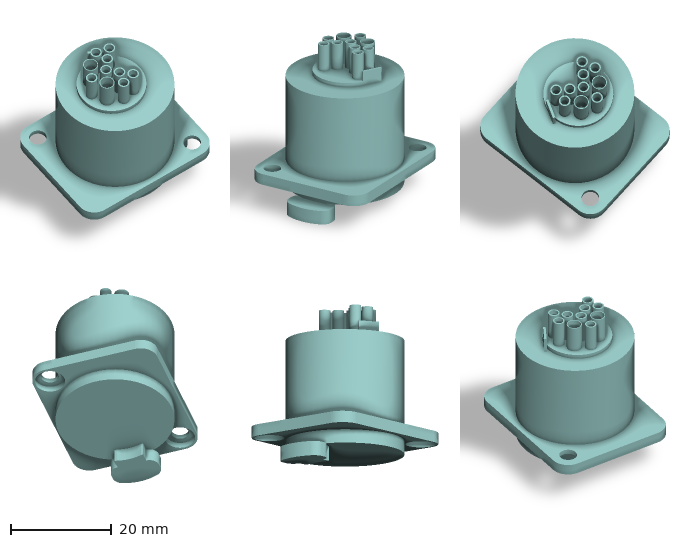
import cadquery as cq

BARREL_RADIUS = 11.8
BARREL_HEIGHT = 23.0

FLANGE_WIDTH = 26.0
FLANGE_LENGTH = 31.0
FLANGE_BOTTOM = 2.7
FLANGE_THICKNESS = 2.3
FLANGE_CORNER_RADIUS = 3.5
MOUNTING_HOLE_DIAMETER = 3.5
COUNTERBORE_DIAMETER = 6.0
COUNTERBORE_DEPTH = 1.3
MOUNTING_HOLE_X = 9.5
MOUNTING_HOLE_Y = 12.0

DISC_RADIUS = 6.93
DISC_THICKNESS = 0.9
DISC_Y = -0.87
DISC_TOP = BARREL_HEIGHT + DISC_THICKNESS

CUP_HEIGHT = 5.5
SMALL_CUP_RADIUS = 1.15
SMALL_BORE_RADIUS = 0.87
LARGE_CUP_RADIUS = 1.5
LARGE_BORE_RADIUS = 1.33
CENTRE_CUPS = [(0, -1.34), (0, -4.85)]
PAIRED_CUPS = [(4.0, 2.41), (4.67, -0.4), (2.07, 0.47)]
LARGE_CUP = (2.77, -3.1)

TAB_X = -6.69
TAB_Y = 1.55
TAB_LENGTH = 4.15
TAB_THICKNESS = 0.5
TAB_HEIGHT = 3.0
TAB_ANGLE = 60

LATCH_BOTTOM = -3.0
LATCH_CLEARANCE = 0.1
LATCH_TIP_Y = 15.72
LATCH_TIP_RADIUS = 10.0
LATCH_CORNER_RADIUS = 2.0
HEAD_WIDTH = 10.0
HEAD_BACK_Y = 10.3
NECK_WIDTH = 6.0
NECK_BACK_Y = 8.45
NECK_FRONT_Y = 11.5
NECK_HOLLOW_RADIUS = 8.82


def mirrored(points):
    """Return the points together with their mirror images across x = 0."""
    return [(side * x, y) for x, y in points for side in (-1, 1)]


def cylinder(radius, bottom, height, y=0):
    return cq.Workplane("XY", origin=(0, y, bottom)).circle(radius).extrude(height)


def make_flange():
    flange = (
        cq.Workplane("XY", origin=(0, 0, FLANGE_BOTTOM))
        .rect(FLANGE_WIDTH, FLANGE_LENGTH)
        .extrude(FLANGE_THICKNESS)
        .edges("|Z")
        .fillet(FLANGE_CORNER_RADIUS)
    )
    hole_points = [
        (MOUNTING_HOLE_X, MOUNTING_HOLE_Y),
        (-MOUNTING_HOLE_X, -MOUNTING_HOLE_Y),
    ]
    hole_plane = cq.Workplane("XY", origin=(0, 0, FLANGE_BOTTOM)).pushPoints(hole_points)
    holes = hole_plane.circle(MOUNTING_HOLE_DIAMETER / 2).extrude(FLANGE_THICKNESS)
    counterbores = hole_plane.circle(COUNTERBORE_DIAMETER / 2).extrude(COUNTERBORE_DEPTH)
    return flange.cut(holes).cut(counterbores)


def make_cups(points, outer_radius, bore_radius):
    plane = cq.Workplane("XY", origin=(0, DISC_Y, DISC_TOP)).pushPoints(points)
    cups = plane.circle(outer_radius).extrude(CUP_HEIGHT)
    bores = plane.circle(bore_radius).extrude(CUP_HEIGHT)
    return cups.cut(bores)


def make_tab():
    return (
        cq.Workplane("XY", origin=(TAB_X, DISC_Y + TAB_Y, BARREL_HEIGHT))
        .transformed(rotate=(0, 0, TAB_ANGLE))
        .rect(TAB_LENGTH, TAB_THICKNESS)
        .extrude(TAB_HEIGHT)
    )


def make_latch():
    half_width = HEAD_WIDTH / 2
    tip_centre_y = LATCH_TIP_Y - LATCH_TIP_RADIUS
    shoulder_y = tip_centre_y + (LATCH_TIP_RADIUS**2 - half_width**2) ** 0.5
    head_height = -LATCH_CLEARANCE - LATCH_BOTTOM
    head = (
        cq.Workplane("XY", origin=(0, 0, LATCH_BOTTOM))
        .moveTo(-half_width, HEAD_BACK_Y)
        .lineTo(half_width, HEAD_BACK_Y)
        .lineTo(half_width, shoulder_y)
        .threePointArc((0, LATCH_TIP_Y), (-half_width, shoulder_y))
        .close()
        .extrude(head_height)
        .edges("|Z")
        .fillet(LATCH_CORNER_RADIUS)
    )
    neck = (
        cq.Workplane("XY", origin=(0, (NECK_BACK_Y + NECK_FRONT_Y) / 2, LATCH_BOTTOM))
        .rect(NECK_WIDTH, NECK_FRONT_Y - NECK_BACK_Y)
        .extrude(-LATCH_BOTTOM)
    )
    hollow = cylinder(NECK_HOLLOW_RADIUS, LATCH_BOTTOM, -LATCH_BOTTOM)
    return head.union(neck).cut(hollow)


barrel = cylinder(BARREL_RADIUS, 0, BARREL_HEIGHT)
disc = cylinder(DISC_RADIUS, BARREL_HEIGHT, DISC_THICKNESS, DISC_Y)
small_cup_points = CENTRE_CUPS + mirrored(PAIRED_CUPS)

result = (
    barrel.union(make_flange())
    .union(disc)
    .union(make_cups(small_cup_points, SMALL_CUP_RADIUS, SMALL_BORE_RADIUS))
    .union(make_cups(mirrored([LARGE_CUP]), LARGE_CUP_RADIUS, LARGE_BORE_RADIUS))
    .union(make_tab())
    .union(make_latch())
)